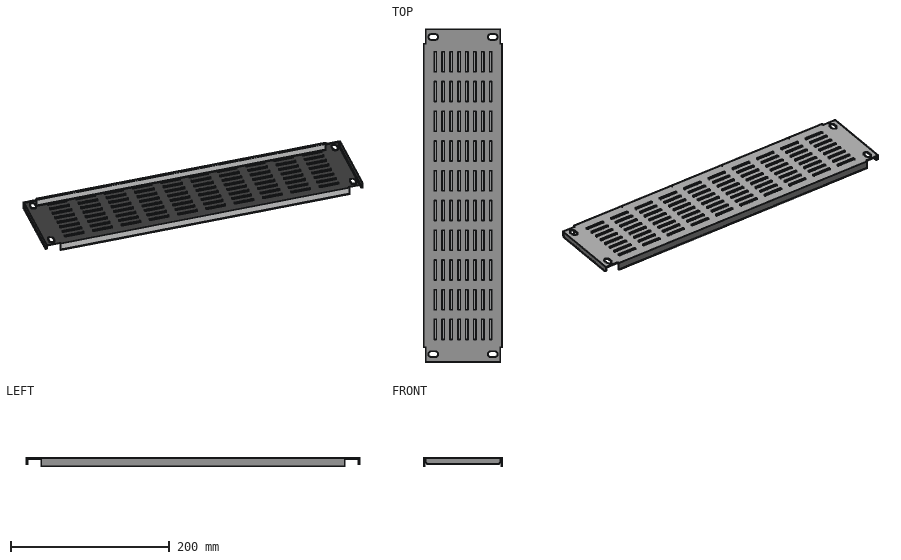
import cadquery as cq

width = 99.0
length = 420.0
height = 10.75
sheet = 1.5

side_flange_length = 383.0
end_width = 94.0
end_flange_height = 8.0
end_flange_corner = 2.0

mount_spacing_x = 75.0
mount_spacing_y = 400.0
mount_slot_length = 12.0
mount_slot_width = 7.0

vent_columns = 8
vent_rows = 10
vent_pitch_x = 10.0
vent_pitch_y = 37.5
vent_width = 2.5
vent_length = 25.0


def block(size_x, size_y, size_z):
    """Block centred in X and Y whose top face lies on the outer plane of the panel (Z = 0)."""
    return cq.Workplane("XY").rect(size_x, size_y).extrude(-size_z)


def channel():
    """Middle stretch of the panel with its two long side flanges."""
    outer = block(width, side_flange_length, height)
    inside = block(width - 2 * sheet, side_flange_length, height - sheet).translate((0, 0, -sheet))
    return outer.cut(inside)


def end_panel():
    """Flat sheet over the full length, narrower than the middle stretch."""
    return block(end_width, length, sheet)


def end_flange(side):
    """Downward flange at one end, with its two lower corners chamfered."""
    flange = block(end_width, sheet, end_flange_height)
    flange = flange.faces("<Z").edges("|Y").chamfer(end_flange_corner)
    return flange.translate((0, side * (length - sheet) / 2, 0))


def mount_slots():
    """Cutters for the rounded mounting slots, long side across the panel."""
    return (
        cq.Workplane("XY")
        .rarray(mount_spacing_x, mount_spacing_y, 2, 2)
        .slot2D(mount_slot_length, mount_slot_width)
        .extrude(-sheet)
    )


def vent_slots():
    """Cutters for the grid of straight ventilation slots, long side along the panel."""
    return (
        cq.Workplane("XY")
        .rarray(vent_pitch_x, vent_pitch_y, vent_columns, vent_rows)
        .rect(vent_width, vent_length)
        .extrude(-sheet)
    )


panel = channel().union(end_panel())
for side in (-1, 1):
    panel = panel.union(end_flange(side))

result = panel.cut(mount_slots()).cut(vent_slots())